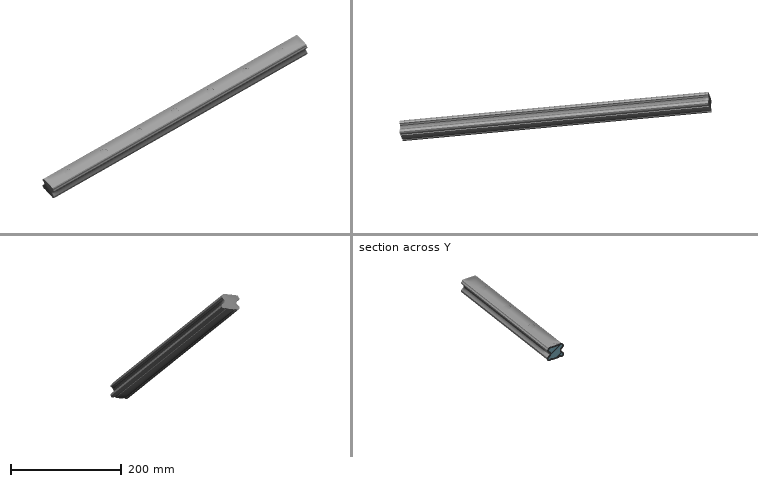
import cadquery as cq
import math

length = 570.0
width = 34.0
height = 27.5
half_width = width / 2

top_half_width = 13.0
upper_groove_half_width = 15.0
upper_groove_top = 26.0
head_side_top = 23.0
head_side_bottom = 20.0
lower_groove_half_width = 14.0
lower_groove_bottom = 17.5
underside_half_width = 12.5
underside_height = 16.5
groove_sag = 0.5

neck_half_width = 12.0
neck_top = 14.0
neck_bottom = 11.0
foot_slope_end = 16.0
foot_slope_bottom = 7.5
foot_side_top = 6.0
base_chamfer = 2.0

base_groove_offset = 9.0
base_groove_width = 4.0
base_groove_depth = 1.0

bolt_count = 7
bolt_pitch = 80.0
recess_diameter = 14.0
recess_depth = 0.3


def groove_middle(start, end):
    """Deepest point of a ball groove running down from start to end, sunk towards the middle plane."""
    chord_x = end[0] - start[0]
    chord_z = end[1] - start[1]
    inward = groove_sag / math.hypot(chord_x, chord_z)
    return (
        (start[0] + end[0]) / 2 + inward * chord_z,
        (start[1] + end[1]) / 2 - inward * chord_x,
    )


def make_half_rail():
    upper_start = (upper_groove_half_width, upper_groove_top)
    upper_end = (half_width, head_side_top)
    lower_start = (half_width, head_side_bottom)
    lower_end = (lower_groove_half_width, lower_groove_bottom)
    return (
        cq.Workplane("XZ")
        .lineTo(0, height)
        .lineTo(top_half_width, height)
        .lineTo(*upper_start)
        .threePointArc(groove_middle(upper_start, upper_end), upper_end)
        .lineTo(*lower_start)
        .threePointArc(groove_middle(lower_start, lower_end), lower_end)
        .lineTo(underside_half_width, underside_height)
        .lineTo(neck_half_width, neck_top)
        .lineTo(neck_half_width, neck_bottom)
        .lineTo(foot_slope_end, foot_slope_bottom)
        .lineTo(half_width, foot_side_top)
        .lineTo(half_width, base_chamfer)
        .lineTo(half_width - base_chamfer, 0)
        .close()
        .extrude(length / 2, both=True)
    )


def make_base_grooves():
    return (
        cq.Workplane("XY")
        .pushPoints([(-base_groove_offset, 0), (base_groove_offset, 0)])
        .rect(base_groove_width, length)
        .extrude(base_groove_depth)
    )


def make_bolt_recesses():
    return (
        cq.Workplane("XY", origin=(0, 0, height - recess_depth))
        .rarray(5.5, bolt_pitch, 1, bolt_count)
        .circle(recess_diameter / 2)
        .extrude(recess_depth)
    )


half_rail = make_half_rail()
rail = half_rail.union(half_rail.mirror("YZ")).clean()
result = rail.cut(make_base_grooves()).cut(make_bolt_recesses())